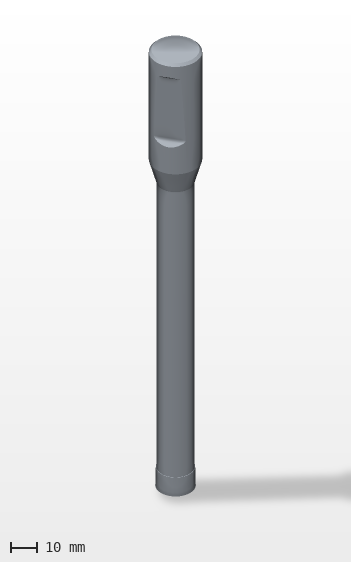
import cadquery as cq
import math

total_length = 201.5
head_radius = 20.0 / 2
head_length = 50.0
end_chamfer = 1.0
taper_length = 10.0
shaft_radius = 14.3 / 2
tip_cutting_radius = 15.1 / 2
tip_back_radius = 14.7 / 2
tip_length = 11.5
point_height = 3.0

flat_top_offset = 6.0
flat_top_depth = 1.1
flat_length = 28.6
flat_slope = 2.0
flat_corner_radius = 1.6

shoulder_z = total_length - head_length
taper_end_z = shoulder_z - taper_length


def make_clamping_flat():
    """Recess with 45 degree end ramps and a floor that slopes along the axis."""
    top_z = total_length - flat_top_offset
    floor_top_z = top_z - flat_top_depth
    floor_bottom_z = floor_top_z - flat_length
    bottom_depth = flat_top_depth + flat_length * math.tan(math.radians(flat_slope))
    bottom_z = floor_bottom_z - bottom_depth
    floor_bottom_y = bottom_depth - head_radius
    cutter = (
        cq.Workplane("YZ")
        .moveTo(-head_radius, top_z)
        .lineTo(flat_top_depth - head_radius, floor_top_z)
        .lineTo(floor_bottom_y, floor_bottom_z)
        .lineTo(-head_radius, bottom_z)
        .close()
        .extrude(head_radius, both=True)
    )
    corner = cq.selectors.NearestToPointSelector((0, floor_bottom_y, floor_bottom_z))
    return cutter.edges(corner).fillet(flat_corner_radius)


def make_holder():
    """Head, taper and shaft in one piece, ending on the back of the tip."""
    body = (
        cq.Workplane("XZ")
        .moveTo(0, tip_length)
        .lineTo(shaft_radius, tip_length)
        .lineTo(shaft_radius, taper_end_z)
        .lineTo(head_radius, shoulder_z)
        .lineTo(head_radius, total_length - end_chamfer)
        .lineTo(head_radius - end_chamfer, total_length)
        .lineTo(0, total_length)
        .close()
        .revolve(360, (0, 0), (0, 1))
    )
    return body.cut(make_clamping_flat())


def make_tip():
    """Conical point on a short body that is wider than the shaft and tapers toward it."""
    return (
        cq.Workplane("XZ")
        .lineTo(tip_cutting_radius, point_height)
        .lineTo(tip_back_radius, tip_length)
        .lineTo(0, tip_length)
        .close()
        .revolve(360, (0, 0), (0, 1))
    )


holder = make_holder()
tip = make_tip()

result = cq.Compound.makeCompound([holder.val(), tip.val()])